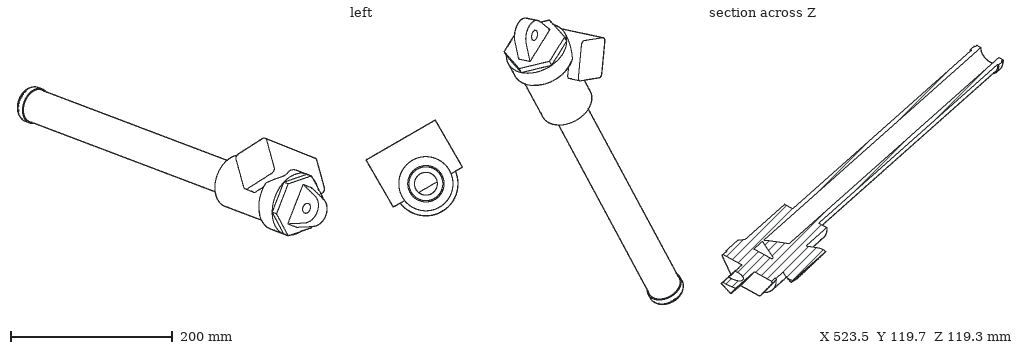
import cadquery as cq
import math

total_length = 523.5
roll_angle = 30.0

tube_radius = 21.0
bore_radius = 14.0
collar_radius = 22.5
collar_start = 3.0
collar_width = 8.0

body_start = 367.5
body_radius = 33.5
flange_radius = 40.0
flange_start = 453.0
flange_end = 477.0
cone_length = flange_radius - body_radius
cone_start = flange_start - cone_length
neck_fillet = 5.0

hex_end = 485.0

box_side = 51.0
box_corner_radius = 5.0
box_length = 99.0
box_x = 434.5
box_height = 29.0

lug_thickness = 17.5
lug_base_half = 26.0
lug_tip_radius = 19.0
lug_hole_radius = 6.5
lug_hole_x = total_length - lug_tip_radius


def rod(start, end, radius):
    return cq.Workplane("YZ", origin=(start, 0, 0)).circle(radius).extrude(end - start)


def make_housing():
    """Tube, collar, motor body and flared flange, with the blind bore."""
    tube = rod(0, body_start, tube_radius)
    collar = rod(collar_start, collar_start + collar_width, collar_radius)
    flare_angle = math.radians(45)
    tangent = neck_fillet * math.tan(flare_angle / 2)
    neck_start = cone_start - tangent
    mid_angle = flare_angle / 2
    neck_mid = (
        neck_start + neck_fillet * math.sin(mid_angle),
        body_radius + neck_fillet * (1 - math.cos(mid_angle)),
    )
    neck_end = (
        cone_start + tangent * math.cos(flare_angle),
        body_radius + tangent * math.sin(flare_angle),
    )
    body = (
        cq.Workplane("XY")
        .moveTo(body_start, 0)
        .lineTo(body_start, body_radius)
        .lineTo(neck_start, body_radius)
        .threePointArc(neck_mid, neck_end)
        .lineTo(flange_start, flange_radius)
        .lineTo(flange_end, flange_radius)
        .lineTo(flange_end, 0)
        .close()
        .revolve(360, (0, 0, 0), (1, 0, 0))
    )
    bore = rod(0, flange_start, bore_radius)
    return tube.union(collar).union(body).cut(bore)


def make_hex_plate():
    """Hexagonal plate with two corners on the Y axis."""
    return (
        cq.Workplane("YZ", origin=(flange_end, 0, 0))
        .polygon(6, 2 * flange_radius)
        .extrude(hex_end - flange_end)
    )


def make_motor_box():
    """Square bar standing on one rounded edge, crossing above the tube axis."""
    return (
        cq.Workplane("XY")
        .box(box_side, box_length, box_side)
        .edges("|Y")
        .fillet(box_corner_radius)
        .rotate((0, 0, 0), (0, 1, 0), 45)
        .translate((box_x, 0, box_height))
    )


def make_lug():
    """Eye plate whose sides run tangent into the rounded tip."""
    base_distance = lug_hole_x - hex_end
    reach = math.hypot(base_distance, lug_base_half)
    corner_angle = math.atan2(lug_base_half, -base_distance)
    touch_angle = corner_angle - math.acos(lug_tip_radius / reach)
    touch_x = lug_hole_x + lug_tip_radius * math.cos(touch_angle)
    touch_z = lug_tip_radius * math.sin(touch_angle)
    return (
        cq.Workplane("XZ")
        .moveTo(hex_end, -lug_base_half)
        .lineTo(touch_x, -touch_z)
        .threePointArc((total_length, 0), (touch_x, touch_z))
        .lineTo(hex_end, lug_base_half)
        .close()
        .moveTo(lug_hole_x, 0)
        .circle(lug_hole_radius)
        .extrude(lug_thickness / 2, both=True)
    )


def roll(shape):
    return shape.rotate((0, 0, 0), (1, 0, 0), -roll_angle)


result = (
    make_housing()
    .union(make_hex_plate())
    .union(roll(make_motor_box()))
    .union(roll(make_lug()))
)